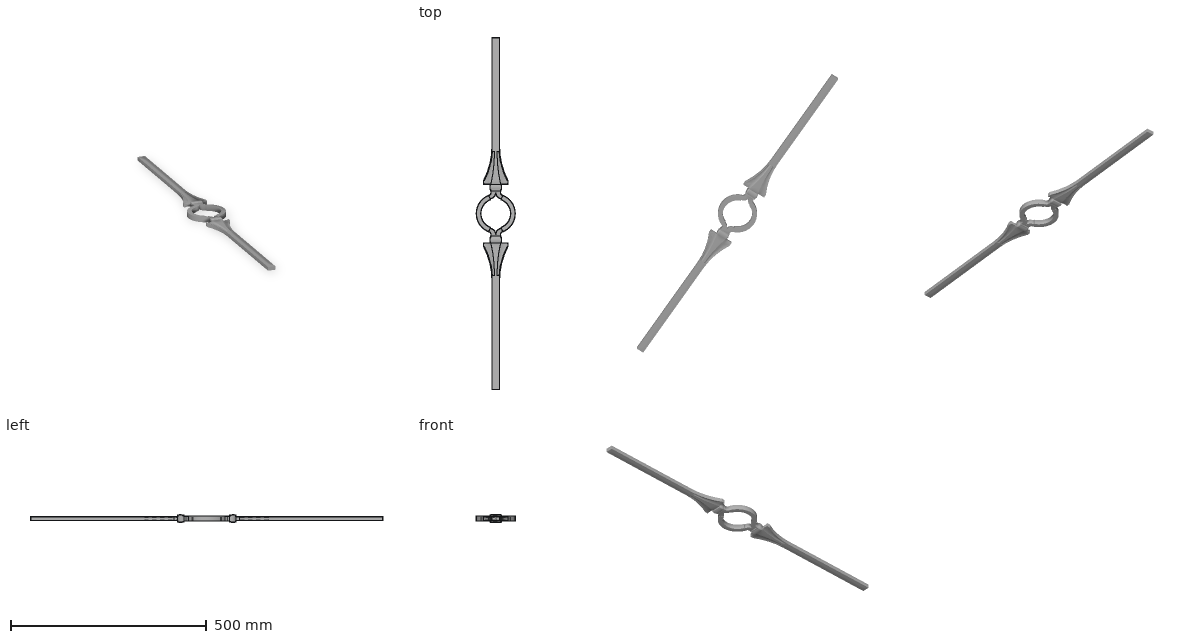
import cadquery as cq
import math

length = 900.0

ring_outer_radius = 49.95
ring_inner_radius = 38.0
ring_thickness = 13.5
ring_end_angle = math.radians(21)

arm_width = 13.0
arm_thickness = 13.0
crotch_y = 53.0
arm_bend_radius = 15.0

collar_start = 58.0
collar_width = 31.0
collar_height = 20.0
collar_corner_radius = 3.15
bead_rise = 1.35
collar_lip = 3.0

leaf_start = 75.0
leaf_width = 63.0
leaf_straight = 9.0
leaf_end = 170.0

bar_width = 20.0
bar_thickness = 10.0

scoop_end = 158.0
scoop_depth = 2.0
scoop_margin = 2.0
rib_tip_half_width = 3.15
rib_root_half_width = 13.0
scoop_sections = 6
overcut = 2.0

collar_length = leaf_start - collar_start
leaf_shoulder = leaf_start + leaf_straight
flare_rise = (leaf_width - bar_width) / 2
flare_run = leaf_end - leaf_shoulder
flare_radius = (flare_rise ** 2 + flare_run ** 2) / (2 * flare_rise)


def on_ring(radius, angle):
    """Point at a radius from the ring centre, the angle measured from +Y toward +X."""
    return radius * math.sin(angle), radius * math.cos(angle)


def slab(thickness):
    """Sketch plane for an outline extruded symmetrically about Z = 0."""
    return cq.Workplane("XY", origin=(0, 0, -thickness / 2))


def ring_arc():
    """Arc of the ring on the +X side."""
    end = ring_end_angle
    middle = math.pi / 2
    return (
        slab(ring_thickness)
        .moveTo(*on_ring(ring_outer_radius, end))
        .threePointArc(on_ring(ring_outer_radius, middle), on_ring(ring_outer_radius, math.pi - end))
        .lineTo(*on_ring(ring_inner_radius, math.pi - end))
        .threePointArc(on_ring(ring_inner_radius, middle), on_ring(ring_inner_radius, end))
        .close()
        .extrude(ring_thickness)
    )


def arm():
    """Arm on the +X side, bending from the end of the ring arc up to the collar."""
    bend_x = arm_bend_radius
    along = bend_x * math.sin(ring_end_angle) + crotch_y * math.cos(ring_end_angle)
    across = bend_x * math.cos(ring_end_angle) - crotch_y * math.sin(ring_end_angle)
    inside_end = on_ring(along - math.sqrt(arm_bend_radius ** 2 - across ** 2), ring_end_angle)
    sweep_end = math.atan2(inside_end[1] - crotch_y, inside_end[0] - bend_x)
    sweep_middle = (sweep_end - math.pi) / 2
    inside_middle = (
        bend_x + arm_bend_radius * math.cos(sweep_middle),
        crotch_y + arm_bend_radius * math.sin(sweep_middle),
    )
    return (
        slab(arm_thickness)
        .moveTo(0, crotch_y)
        .lineTo(0, collar_start)
        .lineTo(arm_width, collar_start)
        .lineTo(arm_width, crotch_y)
        .tangentArcPoint(on_ring(ring_outer_radius, ring_end_angle), relative=False)
        .lineTo(*inside_end)
        .threePointArc(inside_middle, (0, crotch_y))
        .close()
        .extrude(arm_thickness)
    )


def collar():
    """Round-cornered block with a convex bead swept around it."""
    block_width = collar_width - 2 * bead_rise
    block_height = collar_height - 2 * bead_rise
    block = (
        cq.Workplane("XZ", origin=(0, collar_start, 0))
        .rect(block_width, block_height)
        .extrude(-collar_length)
        .edges("|Y")
        .fillet(collar_corner_radius - bead_rise)
    )
    bead_start = collar_start + collar_lip
    bead_middle = (bead_start + leaf_start) / 2
    surface = block_height / 2
    root = surface - bead_rise / 2
    path = cq.Workplane(block.faces("<Y").wires().val())
    bead = (
        cq.Workplane("YZ")
        .moveTo(bead_start, surface)
        .threePointArc((bead_middle, surface + bead_rise), (leaf_start, surface))
        .lineTo(leaf_start, root)
        .lineTo(bead_start, root)
        .close()
        .sweep(path)
    )
    return block.union(bead)


def leaf_half_width(y):
    """Half width of the leaf, flaring on an arc that leaves the bar tangentially."""
    run = leaf_end - max(y, leaf_shoulder)
    return bar_width / 2 + flare_radius - math.sqrt(flare_radius ** 2 - run ** 2)


def rib_half_width(y):
    """Half width of the flat rib, widening from the bar end to the collar end."""
    travel = (scoop_end - y) / (scoop_end - leaf_start)
    return rib_tip_half_width + (rib_root_half_width - rib_tip_half_width) * travel ** 2


def leaf_and_bar():
    """Flat outline of the leaf and the bar."""
    half_bar = bar_width / 2
    half_leaf = leaf_width / 2
    middle = (leaf_shoulder + leaf_end) / 2
    return (
        slab(bar_thickness)
        .moveTo(-half_leaf, leaf_start)
        .lineTo(half_leaf, leaf_start)
        .lineTo(half_leaf, leaf_shoulder)
        .threePointArc((leaf_half_width(middle), middle), (half_bar, leaf_end))
        .lineTo(half_bar, length / 2)
        .lineTo(-half_bar, length / 2)
        .lineTo(-half_bar, leaf_end)
        .threePointArc((-leaf_half_width(middle), middle), (-half_leaf, leaf_shoulder))
        .close()
        .extrude(bar_thickness)
    )


def scoop_section(y):
    """Cross-section of the scoop tool on the +X side of the top face."""
    face = bar_thickness / 2
    inner = rib_half_width(y)
    outer = leaf_half_width(y) - scoop_margin
    return (
        cq.Workplane("XZ", origin=(0, y, 0))
        .moveTo(inner, face)
        .threePointArc(((inner + outer) / 2, face - scoop_depth), (outer, face))
        .lineTo(outer, face + overcut)
        .lineTo(inner, face + overcut)
        .close()
        .val()
    )


def scoop():
    """Scoop tool: straight through the wide end, then narrowing toward the bar."""
    step = (scoop_end - leaf_shoulder) / (scoop_sections - 1)
    stations = [leaf_start] + [leaf_shoulder + i * step for i in range(scoop_sections)]
    sections = [scoop_section(y) for y in stations]
    return cq.Workplane(cq.Solid.makeLoft(sections))


def scooped_leaf_and_bar():
    leaf = leaf_and_bar()
    right = scoop()
    for tool in (right, right.mirror("YZ")):
        leaf = leaf.cut(tool).cut(tool.mirror("XY"))
    return leaf


def half_baluster():
    """Bar, leaf, collar and both arms, with the ring arc on the +X side."""
    fork = arm().union(arm().mirror("YZ"))
    return scooped_leaf_and_bar().union(collar()).union(fork).union(ring_arc())


half_count = 2
halves = [
    half_baluster().rotate((0, 0, 0), (0, 0, 1), i * 360 / half_count)
    for i in range(half_count)
]

result = cq.Compound.makeCompound([half.solids().val() for half in halves])